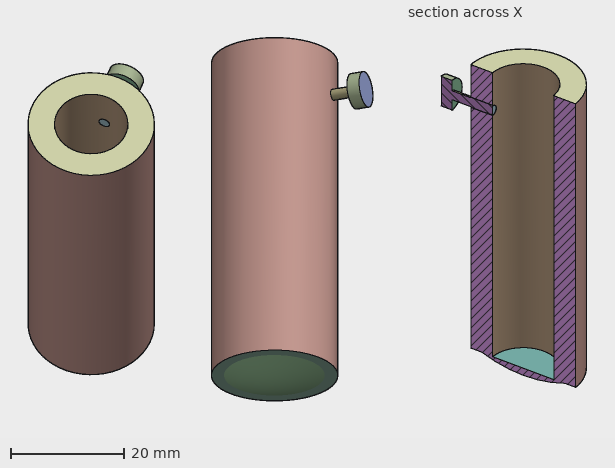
import cadquery as cq

overall_height = 61.94
overall_depth = 28.68

barrel_diameter = 22.352
barrel_length = 60.325
bore_diameter = 12.954
dome_diameter = 17.78

shank_diameter = 2.0
head_diameter = 6.4
head_thickness = 2.35
screw_below_top = 8.05

barrel_radius = barrel_diameter / 2
bore_radius = bore_diameter / 2
dome_radius = dome_diameter / 2
dome_height = overall_height - barrel_length
dome_sphere_radius = (dome_radius**2 + dome_height**2) / (2 * dome_height)
screw_height = barrel_length - screw_below_top
head_outer_face = overall_depth - barrel_radius
head_inner_face = head_outer_face - head_thickness


def make_dome():
    """Spherical cap hanging below Z = 0, with its flat side up."""
    profile = (
        cq.Workplane("XZ")
        .moveTo(0, 0)
        .lineTo(dome_radius, 0)
        .radiusArc((0, -dome_height), dome_sphere_radius)
        .close()
    )
    return profile.revolve(360, (0, 0, 0), (0, 1, 0))


def make_barrel():
    """Tube bored down to the flat side of the dome, with a through hole for the screw shank."""
    tube = cq.Workplane("XY").circle(barrel_radius).circle(bore_radius).extrude(barrel_length)
    screw_hole = screw_cylinder(shank_diameter, 0, head_inner_face)
    return tube.cut(screw_hole).union(make_dome())


def screw_cylinder(diameter, start, end):
    """Cylinder on the screw axis between two Y positions."""
    return (
        cq.Workplane("XZ", origin=(0, end, screw_height))
        .circle(diameter / 2)
        .extrude(end - start)
    )


def make_thumbscrew():
    """Head outside the barrel, shank reaching through the wall to the bore."""
    head = screw_cylinder(head_diameter, head_inner_face, head_outer_face)
    shank = screw_cylinder(shank_diameter, bore_radius, head_inner_face)
    return head.union(shank)


barrel = make_barrel()
thumbscrew = make_thumbscrew()

result = cq.Compound.makeCompound([barrel.val(), thumbscrew.val()])